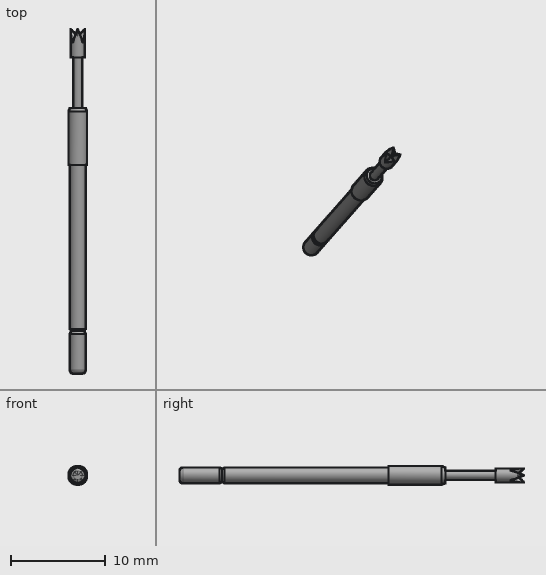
import cadquery as cq
import math

total_length = 36.3

barrel_radius = 0.85
tail_round_radius = 0.4

groove_start = 4.2
groove_length = 0.53
groove_slope_length = 0.3
groove_wall_radius = 0.8
groove_radius = 0.7

collar_radius = 1.0
collar_start = 22.0
collar_length = 6.0
collar_taper_length = 0.4
collar_front_radius = 0.83

plunger_radius = 0.5
crown_radius = 0.75
crown_length = 3.0

tooth_count = 4
notch_depth_at_axis = 0.75
notch_depth_at_rim = 1.42

collar_end = collar_start + collar_length
crown_start = total_length - crown_length
groove_end = groove_start + groove_length
groove_bottom = groove_start + groove_slope_length


def make_body():
    """Revolve the stepped half-outline about the Y axis."""
    round_centre_radius = barrel_radius - tail_round_radius
    round_offset = tail_round_radius * math.sin(math.pi / 4)
    outline = (
        cq.Workplane("XY")
        .moveTo(0, 0)
        .lineTo(round_centre_radius, 0)
        .threePointArc(
            (round_centre_radius + round_offset, tail_round_radius - round_offset),
            (barrel_radius, tail_round_radius),
        )
        .lineTo(barrel_radius, groove_start)
        .lineTo(groove_radius, groove_bottom)
        .lineTo(groove_wall_radius, groove_end)
        .lineTo(barrel_radius, groove_end)
        .lineTo(barrel_radius, collar_start)
        .lineTo(collar_radius, collar_start)
        .lineTo(collar_radius, collar_end - collar_taper_length)
        .lineTo(collar_front_radius, collar_end)
        .lineTo(plunger_radius, collar_end)
        .lineTo(plunger_radius, crown_start)
        .lineTo(crown_radius, crown_start)
        .lineTo(crown_radius, total_length)
        .lineTo(0, total_length)
        .close()
    )
    return outline.revolve(360, (0, 0, 0), (0, 1, 0))


def make_notch():
    """V-shaped cutter whose sloping bottom edge runs from the axis outwards along +X."""
    fall = (notch_depth_at_rim - notch_depth_at_axis) / crown_radius
    fall_angle = math.atan(fall)

    tip_angle = math.pi / tooth_count
    tip_along = crown_radius * math.cos(tip_angle)
    tip_across = crown_radius * math.sin(tip_angle)
    depth_beside_tip = notch_depth_at_axis + fall * tip_along
    half_width_per_height = tip_across / (depth_beside_tip * math.cos(fall_angle))

    cutter_size = 2 * crown_length
    half_width = cutter_size * half_width_per_height
    cutter = (
        cq.Workplane("YZ")
        .polyline([(0, 0), (cutter_size, half_width), (cutter_size, -half_width)])
        .close()
        .extrude(cutter_size, both=True)
    )
    return cutter.rotate((0, 0, 0), (0, 0, 1), -math.degrees(fall_angle)).translate(
        (0, total_length - notch_depth_at_axis, 0)
    )


def cut_crown(body):
    """Cut one notch midway between each pair of neighbouring teeth."""
    notch = make_notch()
    pitch = 360 / tooth_count
    for index in range(tooth_count):
        body = body.cut(notch.rotate((0, 0, 0), (0, 1, 0), (index + 0.5) * pitch))
    return body


result = cut_crown(make_body())